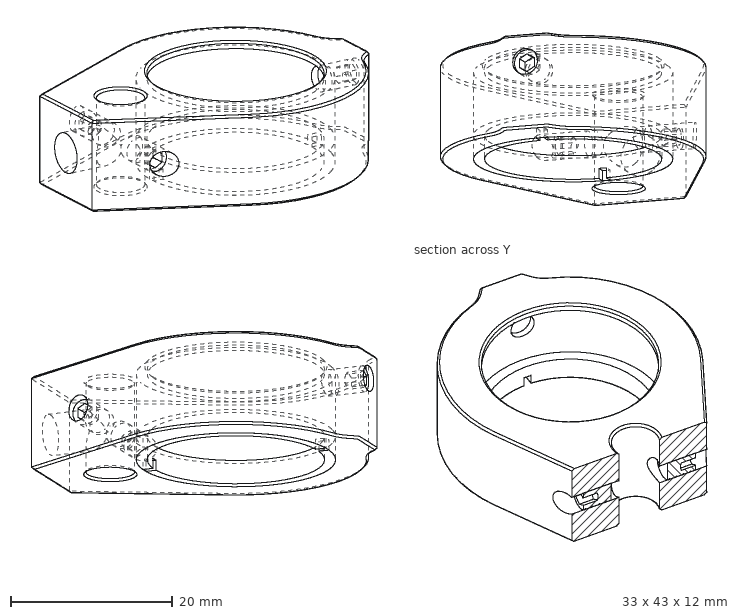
import cadquery as cq
import math

thickness = 12.0
mid_height = thickness / 2
length = 43.0
ring_radius = 16.5
edge_chamfer = 0.3

clamp_end_half_width = 6.0
clamp_end_y = -25.05

tab_top_y = length + clamp_end_y
tab_half_width = 2.92
tab_flank_angle = 53.0
tab_fillet_radius = 4.0
tab_corner_radius = 0.7

lens_radius = 12.4
lip_radius = 11.0
lip_height = 1.0

retainer_height = 3.0
spanner_slot_width = 1.0
spanner_slot_depth = 1.3

post_hole_radius = 3.0
post_hole_y = -17.0
end_hole_radius = 2.6
screw_radius = 1.65

screw_length = 4.0
clamp_screw_head_x = 7.95
lens_screw_tip_y = 13.25
lens_screw_z = 8.5
socket_across_flats = 1.95
socket_depth = 1.98
socket_point_angle = 118.0

cut_margin = 0.45


def housing_outline():
    """Round ring with straight tangent sides to the clamp end and a tapered tab."""
    corner_distance = math.hypot(clamp_end_half_width, clamp_end_y)
    corner_angle = math.atan2(clamp_end_y, clamp_end_half_width)
    tangent_angle = corner_angle + math.acos(ring_radius / corner_distance)
    tangent_x = ring_radius * math.cos(tangent_angle)
    tangent_y = ring_radius * math.sin(tangent_angle)

    flank_x = math.cos(math.radians(tab_flank_angle))
    flank_y = -math.sin(math.radians(tab_flank_angle))
    along = tab_half_width * flank_x + tab_top_y * flank_y
    corner_excess = tab_half_width**2 + tab_top_y**2 - ring_radius**2
    flank_length = -along - math.sqrt(along**2 - corner_excess)
    foot_x = tab_half_width + flank_length * flank_x
    foot_y = tab_top_y + flank_length * flank_y

    return (
        cq.Workplane("XY")
        .moveTo(-clamp_end_half_width, clamp_end_y)
        .lineTo(clamp_end_half_width, clamp_end_y)
        .lineTo(tangent_x, tangent_y)
        .threePointArc((ring_radius, 0), (foot_x, foot_y))
        .lineTo(tab_half_width, tab_top_y)
        .lineTo(-tab_half_width, tab_top_y)
        .lineTo(-foot_x, foot_y)
        .threePointArc((-ring_radius, 0), (-tangent_x, tangent_y))
        .close()
    )


def housing_blank():
    """Plate with a blended, round-cornered tab and chamfered outer edges."""
    blank = housing_outline().extrude(thickness)
    tab_feet = blank.edges("|Z").filter(lambda edge: 0 < edge.Center().y < tab_top_y - edge_chamfer)
    blank = tab_feet.fillet(tab_fillet_radius)
    blank = blank.edges("|Z and >Y").fillet(tab_corner_radius)
    return blank.faces(">Z or <Z").edges().chamfer(edge_chamfer)


def chamfered_hole(radius, y):
    """Cutter for an upright through hole that is chamfered at the top and bottom faces."""
    half_profile = [
        (0, 0),
        (radius + edge_chamfer, 0),
        (radius, edge_chamfer),
        (radius, thickness - edge_chamfer),
        (radius + edge_chamfer, thickness),
        (0, thickness),
    ]
    cutter = cq.Workplane("XZ").polyline(half_profile).close().revolve(360, (0, 0), (0, 1))
    return cutter.translate((0, y, 0))


def make_housing():
    lens_seat = cq.Workplane("XY").circle(lens_radius).extrude(thickness - lip_height)
    lip_hole = chamfered_hole(lip_radius, 0)
    post_hole = chamfered_hole(post_hole_radius, post_hole_y)
    end_hole = (
        cq.Workplane("XZ", origin=(0, post_hole_y, mid_height))
        .circle(end_hole_radius)
        .extrude(post_hole_y - clamp_end_y + cut_margin)
    )
    clamp_screw_hole = (
        cq.Workplane("YZ", origin=(0, post_hole_y, mid_height))
        .circle(screw_radius)
        .extrude(ring_radius, both=True)
    )
    lens_screw_hole = (
        cq.Workplane("XZ", origin=(0, 0, lens_screw_z))
        .circle(screw_radius)
        .extrude(-tab_top_y - cut_margin)
    )
    housing = housing_blank().cut(lens_seat).cut(lip_hole).cut(post_hole)
    return housing.cut(end_hole).cut(clamp_screw_hole).cut(lens_screw_hole)


def make_retaining_ring():
    """Ring that closes the lens bore, with a spanner slot across its underside along Y."""
    ring = cq.Workplane("XY").circle(lens_radius).circle(lip_radius).extrude(retainer_height)
    slot = cq.Workplane("XY").rect(spanner_slot_width, 3 * lens_radius).extrude(spanner_slot_depth)
    return ring.cut(slot)


def make_set_screw():
    """Set screw along Z: socket face at Z = 0, flat tip below, hexagon corners on X."""
    socket_radius = socket_across_flats / 2 / math.cos(math.pi / 6)
    point_length = socket_radius / math.tan(math.radians(socket_point_angle / 2))
    drilled_profile = [
        (0, 0),
        (socket_radius, 0),
        (socket_radius, -socket_depth),
        (0, -socket_depth - point_length),
    ]
    drilled = cq.Workplane("XZ").polyline(drilled_profile).close().revolve(360, (0, 0), (0, 1))
    hexagon = cq.Workplane("XY").polygon(6, 2 * socket_radius).extrude(-socket_depth - point_length)
    body = cq.Workplane("XY").circle(screw_radius).extrude(-screw_length)
    return body.cut(hexagon.intersect(drilled))


def place_screw(head, outward):
    """Set screw with its socket face centred at `head`, facing `outward`."""
    seat = cq.Plane(origin=head, xDir=(0, 0, 1), normal=outward)
    return make_set_screw().val().moved(cq.Location(seat))


housing = make_housing()
retaining_ring = make_retaining_ring()
screw_places = [
    ((-clamp_screw_head_x, post_hole_y, mid_height), (-1, 0, 0)),
    ((clamp_screw_head_x, post_hole_y, mid_height), (1, 0, 0)),
    ((0, lens_screw_tip_y + screw_length, lens_screw_z), (0, 1, 0)),
]
set_screws = [place_screw(head, outward) for head, outward in screw_places]

result = cq.Compound.makeCompound([housing.val(), retaining_ring.val(), *set_screws])